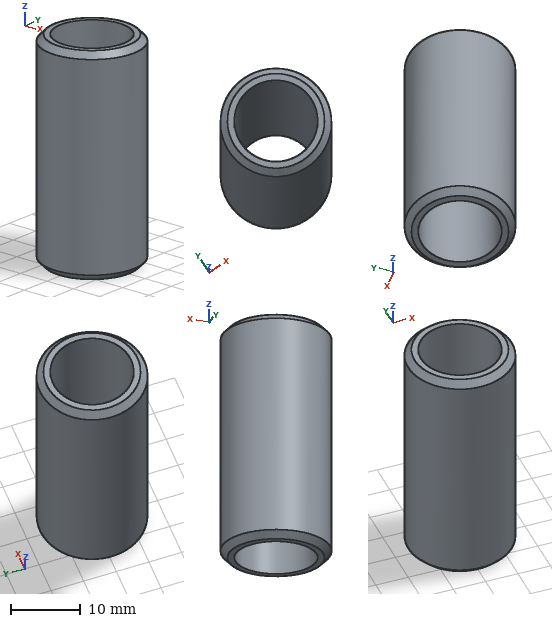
import cadquery as cq

length = 35.0
outer_diameter = 16.0
bore_diameter = 12.0
chamfer_size = 1.0

body = (
    cq.Workplane("XY")
    .circle(outer_diameter / 2)
    .extrude(length)
    .faces("<Z or >Z")
    .edges()
    .chamfer(chamfer_size)
)

result = body.faces(">Z").workplane().hole(bore_diameter)